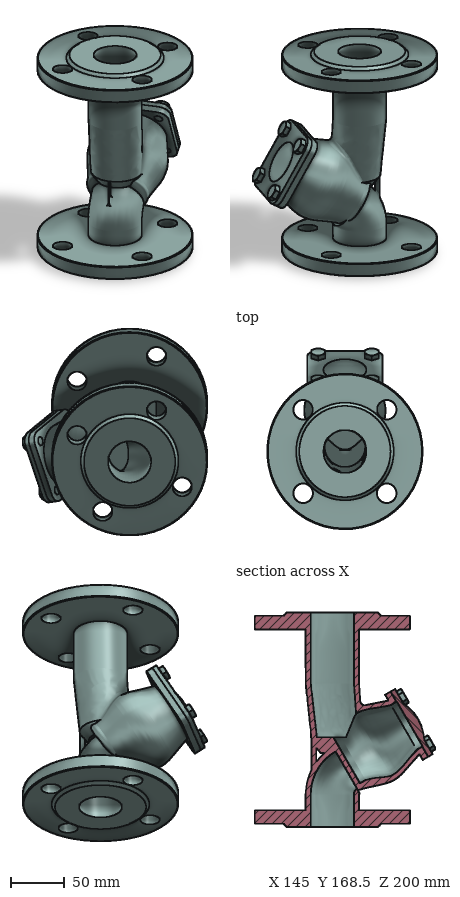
import cadquery as cq
import math


HEIGHT = 200.0
FLANGE_D = 145.0
FLANGE_THICKNESS = 13.0
RIM_CHAMFER = 0.8
FACE_HEIGHT = 3.0
FACE_BASE_D = 91.0
HOLE_CIRCLE_D = 110.0
HOLE_D = 18.0
PIPE_D = 50.0
BORE_D = 40.0
WALL = (PIPE_D - BORE_D) / 2
FLANGE_BACK = HEIGHT / 2 - FACE_HEIGHT - FLANGE_THICKNESS

TAPER_TOP = 34.0
TAPER_BOTTOM = -21.0
TAPER_END_R = 24.0
TAPER_END_Y = 4.5
NECK_Z = -31.0
NECK_R = 19.0
NECK_Y = 8.0

ELBOW_Z = -69.5
ELBOW_BEND_R = 26.0

BRANCH_RISE = 30.0
BRANCH_OFFSET = 39.5
COLLAR_START = -17.5
COLLAR_LENGTH = 6.0
COLLAR_R = 29.5
COLLAR_ROUND = 4.0
BULGE_AT = 21.5
BULGE_R = 38.0
MOUTH_R = 29.0

ELBOW_END = ELBOW_BEND_R * math.cos(math.radians(BRANCH_RISE)) + ELBOW_Z * math.sin(math.radians(BRANCH_RISE))

PLATE_BACK = 54.2
PLATE_SIDE = 70.5
PLATE_CORNER_R = 10.0
PLATE_THICKNESS = 6.2
COVER_THICKNESS = 4.5
DOME_D = 40.0
DOME_HEIGHT = 4.5
BOLT_SPACING = 50.0
BOLT_D = 8.0
HEAD_FLATS = 13.0
HEAD_HEIGHT = 5.0
HEAD_CHAMFER_ANGLE = 30.0
JOINT = PLATE_BACK + PLATE_THICKNESS
COVER_TOP = JOINT + COVER_THICKNESS

RIB_THICKNESS = 1.5
RIB_OUTER_Y = TAPER_END_Y - TAPER_END_R
RIB_INNER_Y = -14.8
RIB_BOTTOM = -50.0
RIB_FOOT_R = 1.2

BLEND_R = 4.0
SEAM_X = 17.2
SEAM_Y = 16.2


def branch_plane(distance):
    """Plane square to the branch axis: local x is X, local z points out along the branch."""
    rise = math.radians(BRANCH_RISE)
    along = cq.Vector(0, math.cos(rise), math.sin(rise))
    across = cq.Vector(0, -math.sin(rise), math.cos(rise))
    origin = along * distance - across * BRANCH_OFFSET
    return cq.Plane(origin=origin, xDir=(1, 0, 0), normal=along)


def level_loft(z_low, r_low, y_low, z_high, r_high, y_high):
    """Straight loft between two horizontal circles."""
    low = cq.Wire.makeCircle(r_low, cq.Vector(y_low, 0, z_low), cq.Vector(0, 0, 1))
    high = cq.Wire.makeCircle(r_high, cq.Vector(y_high, 0, z_high), cq.Vector(0, 0, 1))
    return cq.Workplane(cq.Solid.makeLoft([low, high], True)).rotate((0, 0, 0), (0, 0, 1), 90)


def vertical_cylinder(radius, z_low, z_high):
    return cq.Workplane("XY").workplane(offset=z_low).circle(radius).extrude(z_high - z_low)


def elbow(radius):
    """Bend that turns the vertical pipe into the branch direction."""
    turn = 90 - BRANCH_RISE
    section = cq.Workplane("XY").workplane(offset=ELBOW_Z).circle(radius)
    return section.revolve(turn, (0, ELBOW_BEND_R, 0), (-1, ELBOW_BEND_R, 0))


def end_flange():
    """Upper end flange with its raised face; the lower one is its mirror image."""
    disc = vertical_cylinder(FLANGE_D / 2, FLANGE_BACK, FLANGE_BACK + FLANGE_THICKNESS)
    disc = disc.edges().chamfer(RIM_CHAMFER)
    face_base = FLANGE_BACK + FLANGE_THICKNESS
    face = cq.Workplane("XY").workplane(offset=face_base).circle(FACE_BASE_D / 2)
    face = face.extrude(FACE_HEIGHT, taper=45)
    holes = (
        cq.Workplane("XY")
        .workplane(offset=FLANGE_BACK)
        .polarArray(HOLE_CIRCLE_D / 2, 45, 360, 4)
        .circle(HOLE_D / 2)
        .extrude(FLANGE_THICKNESS)
    )
    return disc.union(face).cut(holes)


def bolted_plate(start, thickness):
    """Round-cornered square plate of the bolted joint, before its bolt holes are cut."""
    plate = cq.Workplane(branch_plane(start)).rect(PLATE_SIDE, PLATE_SIDE).extrude(thickness)
    return plate.edges(cq.selectors.ParallelDirSelector(branch_plane(0).zDir)).fillet(PLATE_CORNER_R)


def bolt_holes():
    holes = cq.Workplane(branch_plane(PLATE_BACK)).rect(BOLT_SPACING, BOLT_SPACING, forConstruction=True)
    return holes.vertices().circle(BOLT_D / 2).extrude(COVER_TOP - PLATE_BACK)


def branch_turned(profile):
    """Turn a closed (radius, distance along the branch) profile about the branch axis."""
    upright = profile.revolve(360, (0, 0), (0, 1)).rotate((0, 0, 0), (1, 0, 0), 90)
    return cq.Workplane(upright.val().moved(cq.Location(branch_plane(0))))


def barrel(start, inset):
    """Barrel of the branch, bulging between the collar and the mouth, inset from the outer skin."""
    profile = (
        cq.Workplane("XY")
        .moveTo(0, start)
        .lineTo(COLLAR_R - inset, start)
        .lineTo(COLLAR_R - inset, start + COLLAR_LENGTH)
        .spline(
            [(BULGE_R - inset, BULGE_AT), (MOUTH_R - inset, PLATE_BACK)],
            tangents=[(BULGE_R - COLLAR_R, BULGE_AT - COLLAR_START), (MOUTH_R - BULGE_R, PLATE_BACK - BULGE_AT)],
            includeCurrent=True,
        )
        .lineTo(0, PLATE_BACK)
        .close()
    )
    return branch_turned(profile)


def branch_outside():
    outside = barrel(COLLAR_START, 0)
    collar_edge = cq.selectors.NearestToPointSelector(branch_plane(COLLAR_START).toWorldCoords((0, COLLAR_R, 0)))
    return outside.edges(collar_edge).fillet(COLLAR_ROUND)


def branch_chamber():
    mouth = cq.Workplane(branch_plane(PLATE_BACK)).circle(MOUTH_R - WALL).extrude(PLATE_THICKNESS)
    return barrel(ELBOW_END + WALL, WALL).union(mouth)


def upper_taper_with_branch():
    """Tapered pipe and branch, blended where the barrel meets the sides of the pipe."""
    taper = level_loft(TAPER_BOTTOM, TAPER_END_R, TAPER_END_Y, TAPER_TOP, PIPE_D / 2, 0)
    joined = taper.union(branch_outside())
    left = cq.selectors.NearestToPointSelector((-SEAM_X, SEAM_Y, 0))
    right = cq.selectors.NearestToPointSelector((SEAM_X, SEAM_Y, 0))
    return joined.edges(left + right).fillet(BLEND_R)


def rib():
    rib_box = cq.Workplane("XY").box(
        RIB_THICKNESS, RIB_INNER_Y - RIB_OUTER_Y, TAPER_BOTTOM - RIB_BOTTOM, centered=(True, False, False)
    )
    return rib_box.translate((0, RIB_OUTER_Y, RIB_BOTTOM))


def elbow_with_rib():
    """Outer elbow with the rib standing on it, filleted along both sides of the rib's foot."""
    joined = elbow(PIPE_D / 2).union(rib())
    foot_low = (-RIB_THICKNESS, RIB_OUTER_Y, RIB_BOTTOM)
    foot_high = (RIB_THICKNESS, RIB_INNER_Y, TAPER_BOTTOM)
    foot = joined.edges(cq.selectors.BoxSelector(foot_low, foot_high)).edges("%CIRCLE")
    return foot.fillet(RIB_FOOT_R)


def make_housing():
    neck = level_loft(NECK_Z, NECK_R, NECK_Y, TAPER_BOTTOM, TAPER_END_R, TAPER_END_Y)
    housing = upper_taper_with_branch().union(neck).union(elbow_with_rib())
    housing = housing.union(vertical_cylinder(PIPE_D / 2, TAPER_TOP, FLANGE_BACK))
    housing = housing.union(vertical_cylinder(PIPE_D / 2, -FLANGE_BACK, ELBOW_Z))
    housing = housing.union(bolted_plate(PLATE_BACK, PLATE_THICKNESS))
    for flange in (end_flange(), end_flange().mirror("XY")):
        housing = housing.union(flange)

    bore = vertical_cylinder(BORE_D / 2, TAPER_TOP, HEIGHT / 2)
    taper_bore = level_loft(
        TAPER_BOTTOM + WALL, TAPER_END_R - WALL, TAPER_END_Y, TAPER_TOP, BORE_D / 2, 0
    )
    lower_bore = vertical_cylinder(BORE_D / 2, -HEIGHT / 2, ELBOW_Z)
    for cavity in (bore, taper_bore, branch_chamber(), elbow(BORE_D / 2), lower_bore, bolt_holes()):
        housing = housing.cut(cavity)
    return housing


def make_cover():
    plate = bolted_plate(JOINT, COVER_THICKNESS).cut(bolt_holes())
    dome_sphere_r = ((DOME_D / 2) ** 2 + DOME_HEIGHT**2) / (2 * DOME_HEIGHT)
    dome = (
        cq.Workplane("XY")
        .moveTo(0, JOINT)
        .lineTo(DOME_D / 2, JOINT)
        .lineTo(DOME_D / 2, COVER_TOP)
        .radiusArc((0, COVER_TOP + DOME_HEIGHT), -dome_sphere_r)
        .close()
    )
    return plate.union(branch_turned(dome))


def head_chamfer(x, y):
    """Cone whose cut leaves a round top on the hexagon head, as wide as its flats."""
    cone = cq.Workplane(branch_plane(COVER_TOP + HEAD_HEIGHT)).center(x, y).circle(HEAD_FLATS / 2)
    return cone.extrude(-HEAD_HEIGHT, taper=HEAD_CHAMFER_ANGLE - 90)


def make_bolts():
    bolts = []
    for x in (-BOLT_SPACING / 2, BOLT_SPACING / 2):
        for y in (-BOLT_SPACING / 2, BOLT_SPACING / 2):
            shank = cq.Workplane(branch_plane(PLATE_BACK)).center(x, y).circle(BOLT_D / 2)
            shank = shank.extrude(COVER_TOP - PLATE_BACK)
            head = cq.Workplane(branch_plane(COVER_TOP)).center(x, y)
            head = head.polygon(6, HEAD_FLATS, circumscribed=True).extrude(HEAD_HEIGHT)
            head = head.intersect(head_chamfer(x, y))
            bolts.append(shank.union(head).val())
    return bolts


housing = make_housing()
cover = make_cover()
result = cq.Compound.makeCompound([housing.val(), cover.val(), *make_bolts()])